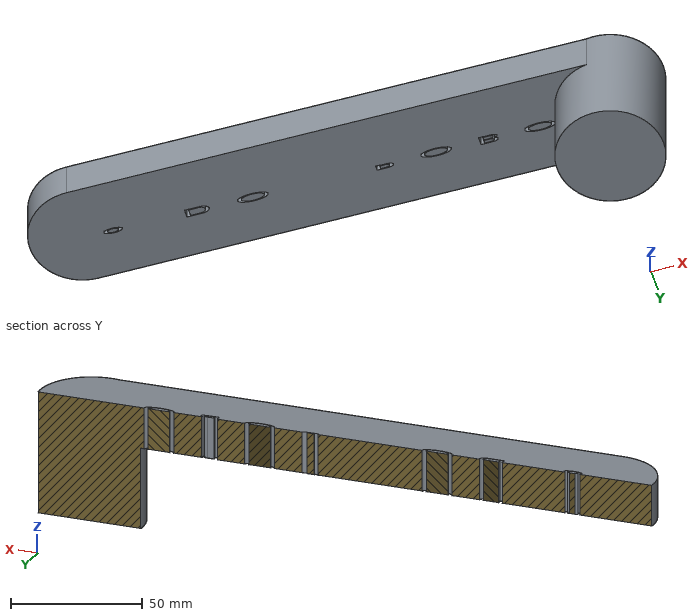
import cadquery as cq

ARM_END_RADIUS = 21.0
ARM_THICKNESS = 17.0
POST_RADIUS = 21.2
TOTAL_HEIGHT = 50.0
TOTAL_LENGTH = 252.2
POST_X = TOTAL_LENGTH - ARM_END_RADIUS - POST_RADIUS
POST_DROP = TOTAL_HEIGHT - ARM_THICKNESS

SIDE_GAP = 1.5
EDGE_GAP = 0.33
ROUND_SHARE = 0.35

LARGE_OVAL_LENGTH = 12.0
LARGE_OVAL_WIDTH = 3.5
LARGE_OVAL_XS = (67.3, 140.2, 181.5)

ROW_WIDTH = 3.3
LARGE_OVAL_Y = ROW_WIDTH / 2

SMALL_OVAL_LENGTH = 7.3
SMALL_OVAL_WIDTH = 2.3
SMALL_OVAL_X = 11.9
SMALL_OVAL_Y = SMALL_OVAL_WIDTH / 2

LARGE_D_X = 40.5
LARGE_D_LENGTH = 9.3
LARGE_D_Y = ROW_WIDTH / 2
SMALL_D_X = 116.3
SMALL_D_LENGTH = 6.8
SMALL_D_WIDTH = 1.9
SMALL_D_Y = ROW_WIDTH - SMALL_D_WIDTH / 2

TWIN_D_X = 157.6
TWIN_D_LENGTH = 7.0
TWIN_D_WIDTH = (ROW_WIDTH + EDGE_GAP) / 2
TWIN_D_YS = (TWIN_D_WIDTH / 2, ROW_WIDTH - TWIN_D_WIDTH / 2)


def oval(x, y, length, width):
    """Elliptical prism through the arm, centred at (x, y)."""
    return (
        cq.Workplane("XY").center(x, y)
        .ellipse(length / 2, width / 2).extrude(ARM_THICKNESS)
    )


def d_shape(x, y, length, width):
    """D-shaped prism through the arm: straight end at x, elliptical end toward +X."""
    round_length = ROUND_SHARE * length
    straight_length = length - round_length
    straight = (
        cq.Workplane("XY").center(x + straight_length / 2, y)
        .rect(straight_length, width).extrude(ARM_THICKNESS)
    )
    return straight.union(oval(x + straight_length, y, 2 * round_length, width))


def oval_pair(x, y, length, width):
    """Window and loose core of one oval."""
    window = oval(x, y, length, width)
    core = oval(x, y, length - 2 * SIDE_GAP, width - 2 * EDGE_GAP)
    return window, core


def d_pair(x, y, length, width):
    """Window and loose core of one D shape."""
    window = d_shape(x, y, length, width)
    core = d_shape(x + SIDE_GAP, y, length - 2 * SIDE_GAP, width - 2 * EDGE_GAP)
    return window, core


def make_arm():
    """Flat arm with a rounded end, carrying a slightly wider round post under its far end."""
    rounded_end = cq.Workplane("XY").circle(ARM_END_RADIUS).extrude(ARM_THICKNESS)
    bar = (
        cq.Workplane("XY").center(POST_X / 2, 0)
        .rect(POST_X, 2 * ARM_END_RADIUS).extrude(ARM_THICKNESS)
    )
    post = (
        cq.Workplane("XY").workplane(offset=-POST_DROP).center(POST_X, 0)
        .circle(POST_RADIUS).extrude(TOTAL_HEIGHT)
    )
    return bar.union(rounded_end).union(post)


large_ovals = [oval_pair(x, LARGE_OVAL_Y, LARGE_OVAL_LENGTH, LARGE_OVAL_WIDTH) for x in LARGE_OVAL_XS]
small_oval = oval_pair(SMALL_OVAL_X, SMALL_OVAL_Y, SMALL_OVAL_LENGTH, SMALL_OVAL_WIDTH)
large_d = d_pair(LARGE_D_X, LARGE_D_Y, LARGE_D_LENGTH, ROW_WIDTH)
small_d = d_pair(SMALL_D_X, SMALL_D_Y, SMALL_D_LENGTH, SMALL_D_WIDTH)
twin_ds = [d_pair(TWIN_D_X, y, TWIN_D_LENGTH, TWIN_D_WIDTH) for y in TWIN_D_YS]

arm = make_arm()
cores = []
for window, core in [*large_ovals, small_oval, large_d, small_d, *twin_ds]:
    arm = arm.cut(window)
    cores.append(core.solids().val())

result = cq.Compound.makeCompound([arm.solids().val(), *cores])